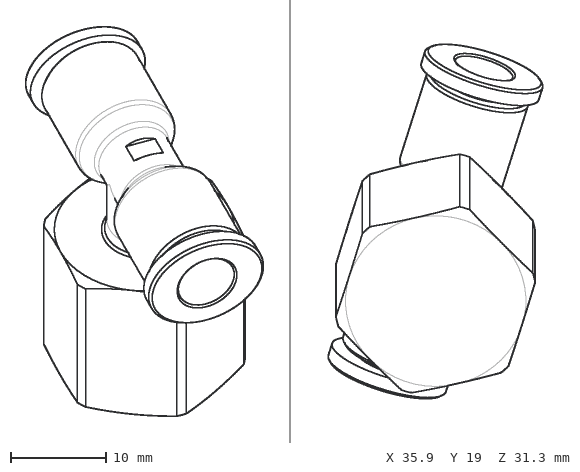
import cadquery as cq
import math

overall_length = 35.9
collar_half_width = 6.5
collar_half_height = 5.55
collar_thickness = 1.7
collar_chamfer = 0.3
neck_radius = 3.8
body_radius = 5.6
body_end = 15.58
body_end_chamfer = 0.32
body_taper_start = 5.35
body_taper_end = 3.5
shoulder_fillet = 0.83
waist_fillet = 1.0
waist_radius = 4.0

bore_radius = 3.15
bore_chamfer = 0.2
bore_floor = body_taper_start

notch_floor_height = 3.63
notch_floor_width = 2.35
notch_wall_spread = 0.15

flare_top = -6.45
flare_bottom = -7.6
flare_radius = 4.2
foot_radius = 4.52

nut_sides = 6
nut_across_flats = 19.0
nut_turned_radius = 10.65
nut_top = -7.85
nut_bottom = -25.7
nut_top_chamfer = 0.45
nut_bottom_chamfer = 0.35

half_length = overall_length / 2


def make_body():
    """Turned run between the collars: two sockets, their tapers, the waist and the necks."""
    inner_collar_face = half_length - collar_thickness
    right_half = [
        (body_taper_end, waist_radius),
        (body_taper_start, body_radius),
        (body_end - body_end_chamfer, body_radius),
        (body_end, body_radius - body_end_chamfer),
        (body_end, neck_radius),
        (inner_collar_face, neck_radius),
        (inner_collar_face, 0),
    ]
    left_half = [(-x, radius) for x, radius in reversed(right_half)]
    body = cq.Workplane("XY").polyline(left_half + right_half).close().revolve(360, (0, 0, 0), (1, 0, 0))
    margin = 0.05
    reach = body_radius + margin
    for corner, fillet in ((body_taper_start, shoulder_fillet), (body_taper_end, waist_fillet)):
        for side in (-1, 1):
            corner_box = cq.selectors.BoxSelector(
                (side * corner - margin, -reach, -reach),
                (side * corner + margin, reach, reach),
            )
            body = body.edges(corner_box).fillet(fillet)
    return body


def make_collar():
    """Oval release collar at the -X end, chamfered on its outer face."""
    collar = cq.Workplane("YZ", origin=(-half_length, 0, 0))
    collar = collar.ellipse(collar_half_width, collar_half_height).extrude(collar_thickness)
    return collar.faces("<X").edges().chamfer(collar_chamfer)


def make_bore():
    """Blind tube bore with a chamfered mouth, entering from the -X end."""
    mouth_radius = bore_radius + bore_chamfer
    profile = [
        (-half_length, 0),
        (-half_length, mouth_radius),
        (-half_length + bore_chamfer, bore_radius),
        (-bore_floor, bore_radius),
        (-bore_floor, 0),
    ]
    return cq.Workplane("XY").polyline(profile).close().revolve(360, (0, 0, 0), (1, 0, 0))


def make_stem():
    """Turned stem that flares towards the nut."""
    profile = [
        (0, 0),
        (waist_radius, 0),
        (waist_radius, flare_top),
        (flare_radius, flare_bottom),
        (foot_radius, nut_top),
        (0, nut_top),
    ]
    return cq.Workplane("XZ").polyline(profile).close().revolve(360, (0, 0, 0), (0, 1, 0))


def make_nut():
    """Hexagon with two flats facing Y, trimmed by a turned, chamfered envelope."""
    flat_radius = nut_across_flats / 2
    across_corners = nut_across_flats / math.cos(math.pi / nut_sides)
    hexagon = cq.Workplane("XY", origin=(0, 0, nut_bottom)).polygon(nut_sides, across_corners)
    hexagon = hexagon.extrude(nut_top - nut_bottom)
    profile = [
        (0, nut_top),
        (flat_radius, nut_top),
        (nut_turned_radius, nut_top - nut_top_chamfer),
        (nut_turned_radius, nut_bottom + nut_bottom_chamfer),
        (flat_radius, nut_bottom),
        (0, nut_bottom),
    ]
    envelope = cq.Workplane("XZ").polyline(profile).close().revolve(360, (0, 0, 0), (0, 1, 0))
    return hexagon.intersect(envelope)


def make_notch():
    """Cutter for the notch: walls spread outwards from a flat floor, across the full width."""
    floor_half = notch_floor_width / 2
    mouth_half = floor_half + notch_wall_spread
    profile = [
        (-floor_half, notch_floor_height),
        (floor_half, notch_floor_height),
        (mouth_half, waist_radius),
        (-mouth_half, waist_radius),
    ]
    return cq.Workplane("XZ").polyline(profile).close().extrude(waist_radius, both=True)


collar = make_collar()
bore = make_bore()

result = make_body().union(make_stem()).union(make_nut())
result = result.union(collar).union(collar.mirror("YZ"))
result = result.cut(bore).cut(bore.mirror("YZ")).cut(make_notch())